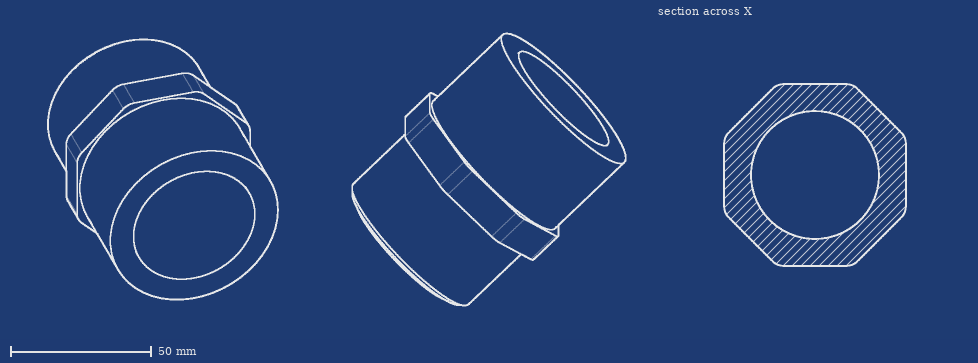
import cadquery as cq
import math

total_length = 80.0
bore_diameter = 45.6

lip_diameter = 49.47
lip_length = 1.5

spigot_diameter = 59.61
spigot_chamfer = 1.5

collar_across_flats = 65.0
collar_start = 32.5
collar_length = 12.5
collar_sides = 8
collar_corner_radius = 5.8

socket_diameter = 63.0

collar_end = collar_start + collar_length
spigot_length = collar_start - lip_length
socket_length = total_length - collar_end


def cylinder(start, length, diameter):
    """Solid cylinder along +X beginning at x = start."""
    return cq.Workplane("YZ", origin=(start, 0, 0)).circle(diameter / 2).extrude(length)


def spigot():
    """Plain spigot with its free end chamfered."""
    return cylinder(lip_length, spigot_length, spigot_diameter).faces("<X").chamfer(spigot_chamfer)


def collar():
    """Octagonal spanner collar with rounded corners and flats facing Y and Z."""
    half_corner_angle = 180 / collar_sides
    across_corners = collar_across_flats / math.cos(math.radians(half_corner_angle))
    return (
        cq.Workplane("YZ", origin=(collar_start, 0, 0))
        .transformed(rotate=(0, 0, half_corner_angle))
        .polygon(collar_sides, across_corners)
        .extrude(collar_length)
        .edges("|X")
        .fillet(collar_corner_radius)
    )


lip = cylinder(0, lip_length, lip_diameter)
socket = cylinder(collar_end, socket_length, socket_diameter)
bore = cylinder(0, total_length, bore_diameter)

result = lip.union(spigot()).union(collar()).union(socket).cut(bore)